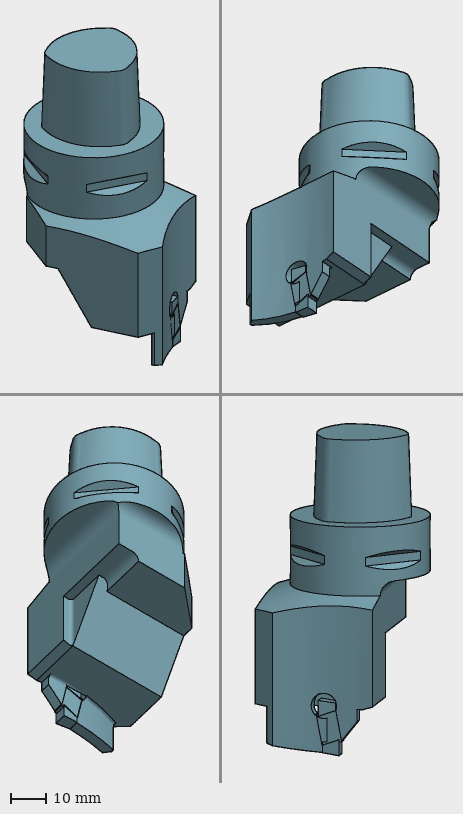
import cadquery as cq
import math


SHANK_HEIGHT = 23.85
LOBE_TIP_RADIUS = 14.95
LOBE_END_RADIUS = 14.5
FLANK_RADIUS = 13.2
LOBE_HALF_ANGLE = 8.3
SHANK_TAPER = 0.9

COLLAR_RADIUS = 40.0 / 2
COLLAR_HEIGHT = 20.0
GROOVE_Z = -10.1
GROOVE_FLOOR = 17.7
GROOVE_FLOOR_HEIGHT = 2.5
GROOVE_MOUTH_HEIGHT = 5.3
UNDERCUT_RADIUS = 4.0

HEAD_LEFT = -14.95
HEAD_BACK = 9.9
HEAD_FRONT = COLLAR_RADIUS - 45.0
LEFT_CHAMFER_Y = -13.9
LEFT_CHAMFER_X = -4.0
RIGHT_CHAMFER_X = 24.6
HEAD_RIGHT = 49.5 - COLLAR_RADIUS
RIGHT_CHAMFER_Y = -18.9
CONE_ANGLE = 15
HEAD_REACH = 53.4
HEEL_BOTTOM = -34.6
HEAD_BOTTOM = -51.5
SLOPE_TOP_X = -0.3
SLOPE_BOTTOM_X = 10.15

FACE_RADIUS = 57.0
FACE_NEAREST_X = 26.5
FACE_CENTRE_X = FACE_NEAREST_X + FACE_RADIUS

RELIEF_TOP = -31.95
RELIEF_START_Y = 2.8
RELIEF_FILLET = 2.7
SLOT_WALL_Y = 6.9
SLOT_WALL_X = 10.7
SLOT_FILLET = 1.2
BOTTOM_CHAMFER_RISE = 1.0

BLADE_THICKNESS = 3.2
BLADE_BACK = 5.25
BLADE_FRONT = -20.9
BLADE_FRONT_BOTTOM = -62.1
BLADE_FILLET = 1.1
BLADE_BACK_BOTTOM = -55.1
JAW_POINT = (0.8, -60.7)
BLADE_SUPPORT_BOTTOM = -64.4
BLADE_BOTTOM_MIDDLE = (-12.6, -63.6)

TIP_BOTTOM = SHANK_HEIGHT - 89
INSERT_CENTRE_Y = -3.0
INSERT_CENTRE_Z = -57.2
BAR_LOW_REAR = (0.7, -61.15)
BAR_LOW_FRONT = (-5.1, -62.2)
INSERT_LEFT = 23.3
INSERT_RIGHT = 26.6
EDGE_LEFT = 23.05
EDGE_RIGHT = 27.0
NOSE_TOP = -61.4
NOSE_BACK_Y = -4.9
NOSE_BACK_BOTTOM = -64.5
CLEARANCE_Y = -4.45
CLEARANCE_Z = -50.9
CLEARANCE_RADIUS = 3.65


def polar(radius, angle):
    a = math.radians(angle)
    return (radius * math.cos(a), radius * math.sin(a))


def lobed_wire(z, inset):
    """Closed outline of three lobe arcs joined by three flank arcs."""
    tip = LOBE_TIP_RADIUS - inset
    end = LOBE_END_RADIUS - inset
    flank = FLANK_RADIUS - inset
    wire = cq.Workplane("XY", origin=(0, 0, z)).moveTo(*polar(end, 90 - LOBE_HALF_ANGLE))
    for lobe in (90, 210, 330):
        wire = wire.threePointArc(polar(tip, lobe), polar(end, lobe + LOBE_HALF_ANGLE))
        wire = wire.threePointArc(polar(flank, lobe + 60), polar(end, lobe + 120 - LOBE_HALF_ANGLE))
    return wire.close().wires().val()


def make_shank():
    wires = [lobed_wire(0, 0), lobed_wire(SHANK_HEIGHT, SHANK_TAPER)]
    return cq.Workplane(cq.Solid.makeLoft(wires, True))


def gripper_groove(angle):
    """Straight groove with sloping sides across the collar at the given angle."""
    slope = (GROOVE_MOUTH_HEIGHT - GROOVE_FLOOR_HEIGHT) / 2 / (COLLAR_RADIUS - GROOVE_FLOOR)
    outer = COLLAR_RADIUS + 0.9
    floor_half = GROOVE_FLOOR_HEIGHT / 2
    outer_half = floor_half + slope * (outer - GROOVE_FLOOR)
    return (
        cq.Workplane("XZ", origin=(0, 0, GROOVE_Z))
        .polyline([(GROOVE_FLOOR, -floor_half), (outer, -outer_half),
                   (outer, outer_half), (GROOVE_FLOOR, floor_half)])
        .close()
        .extrude(COLLAR_RADIUS, both=True)
        .rotate((0, 0, 0), (0, 0, 1), angle)
    )


def undercut(plane, wall, outward):
    """Rounded cut under the collar, ending tangent to a side wall of the head."""
    top = -COLLAR_HEIGHT + UNDERCUT_RADIUS
    far = wall + outward * COLLAR_RADIUS
    arc_end = wall + outward * UNDERCUT_RADIUS
    diagonal = UNDERCUT_RADIUS * (1 - math.sqrt(0.5))
    return (
        cq.Workplane(plane)
        .moveTo(wall, -COLLAR_HEIGHT)
        .threePointArc((wall + outward * diagonal, top - diagonal), (arc_end, top))
        .lineTo(far, top)
        .lineTo(far, -COLLAR_HEIGHT)
        .close()
        .extrude(2 * COLLAR_RADIUS, both=True)
    )


def make_collar():
    collar = cq.Workplane("XY").circle(COLLAR_RADIUS).extrude(-COLLAR_HEIGHT)
    for angle in (45, 135, 225, 315):
        collar = collar.cut(gripper_groove(angle))
    collar = collar.cut(undercut("XZ", HEAD_LEFT, -1))
    return collar.cut(undercut("YZ", HEAD_BACK, 1))


def face_x(y, radius=FACE_RADIUS):
    """X of a vertical cylinder about the concave face's axis."""
    return FACE_CENTRE_X - math.sqrt(radius**2 - y**2)


def head_plan():
    """Plan of head and blade, extruded down from the collar's lower face."""
    return (
        cq.Workplane("XY", origin=(0, 0, -COLLAR_HEIGHT))
        .moveTo(HEAD_LEFT, HEAD_BACK)
        .lineTo(HEAD_LEFT, LEFT_CHAMFER_Y)
        .lineTo(LEFT_CHAMFER_X, HEAD_FRONT)
        .lineTo(RIGHT_CHAMFER_X, HEAD_FRONT)
        .lineTo(HEAD_RIGHT, RIGHT_CHAMFER_Y)
        .threePointArc((FACE_NEAREST_X, 0), (face_x(HEAD_BACK), HEAD_BACK))
        .close()
        .extrude(TIP_BOTTOM + COLLAR_HEIGHT)
    )


def head_side():
    """Side outline with the flat heel and the slope."""
    return (
        cq.Workplane("XZ")
        .polyline([(HEAD_LEFT, -COLLAR_HEIGHT), (HEAD_LEFT, HEEL_BOTTOM),
                   (SLOPE_TOP_X, HEEL_BOTTOM), (SLOPE_BOTTOM_X, HEAD_BOTTOM),
                   (HEAD_REACH, HEAD_BOTTOM), (HEAD_REACH, -COLLAR_HEIGHT)])
        .close()
        .extrude(HEAD_REACH, both=True)
    )


def head_cone():
    """Space below the conical top of the head."""
    drop = (HEAD_REACH - COLLAR_RADIUS) * math.tan(math.radians(CONE_ANGLE))
    return (
        cq.Workplane("XZ")
        .polyline([(0, -COLLAR_HEIGHT), (COLLAR_RADIUS, -COLLAR_HEIGHT),
                   (HEAD_REACH, -COLLAR_HEIGHT - drop), (HEAD_REACH, TIP_BOTTOM), (0, TIP_BOTTOM)])
        .close()
        .revolve(360, (0, 0, 0), (0, 1, 0))
    )


def box_between(low, high):
    size = [b - a for a, b in zip(low, high)]
    return cq.Workplane("XY").box(*size, centered=False).translate(low)


def heel_relief():
    """Rounded step under the heel, bounded by the continued slope."""
    step = box_between(
        (HEAD_LEFT - 0.9, RELIEF_START_Y, HEAD_BOTTOM), (SLOT_WALL_X, HEAD_BACK + 0.9, RELIEF_TOP)
    ).edges("|X and <Y and >Z").fillet(RELIEF_FILLET)
    slope_run = (SLOPE_BOTTOM_X - SLOPE_TOP_X) / (HEEL_BOTTOM - HEAD_BOTTOM)
    relief_top_x = SLOPE_TOP_X - slope_run * (RELIEF_TOP - HEEL_BOTTOM)
    beyond = HEAD_LEFT - 0.9
    outside_slope = (
        cq.Workplane("XZ")
        .polyline([(beyond, RELIEF_TOP), (relief_top_x, RELIEF_TOP),
                   (SLOPE_BOTTOM_X, HEAD_BOTTOM), (beyond, HEAD_BOTTOM)])
        .close()
        .extrude(HEAD_REACH, both=True)
    )
    return step.intersect(outside_slope)


def rear_slot():
    """Vertical slot with a rounded inner corner along the rear edge."""
    return box_between(
        (HEAD_LEFT - 0.9, SLOT_WALL_Y, HEAD_BOTTOM), (SLOT_WALL_X, HEAD_BACK + 0.9, RELIEF_TOP)
    ).edges("|Z and >X and <Y").fillet(SLOT_FILLET)


def bottom_chamfer():
    return (
        cq.Workplane("YZ")
        .polyline([(SLOT_WALL_Y, HEAD_BOTTOM), (HEAD_BACK, HEAD_BOTTOM),
                   (HEAD_BACK, HEAD_BOTTOM + BOTTOM_CHAMFER_RISE)])
        .close()
        .extrude(HEAD_REACH)
    )


def make_head():
    head = head_plan().intersect(head_side()).intersect(head_cone())
    return head.cut(heel_relief()).cut(rear_slot()).cut(bottom_chamfer())


def make_blade():
    """Curved plate below the head, concentric with its concave face."""
    outline = (
        cq.Workplane("YZ")
        .moveTo(BLADE_BACK, HEAD_BOTTOM)
        .lineTo(BLADE_BACK, BLADE_BACK_BOTTOM)
        .lineTo(*JAW_POINT)
        .lineTo(NOSE_BACK_Y, NOSE_TOP)
        .lineTo(NOSE_BACK_Y, BLADE_SUPPORT_BOTTOM)
        .threePointArc(BLADE_BOTTOM_MIDDLE, (BLADE_FRONT, BLADE_FRONT_BOTTOM))
        .lineTo(BLADE_FRONT, HEAD_BOTTOM)
        .close()
        .extrude(HEAD_REACH)
    )
    ring = (
        cq.Workplane("XY", origin=(FACE_CENTRE_X, 0, HEAD_BOTTOM))
        .circle(FACE_RADIUS + BLADE_THICKNESS)
        .extrude(TIP_BOTTOM - HEAD_BOTTOM)
    )
    return outline.intersect(ring).intersect(head_plan())


def blade_root_edge(tool):
    """Inner edge where the blade meets the underside of the head."""
    inner_x = FACE_NEAREST_X - BLADE_THICKNESS
    margin = 0.1
    low = (inner_x - margin, BLADE_FRONT - margin, HEAD_BOTTOM - margin)
    high = (HEAD_RIGHT, BLADE_BACK - margin, HEAD_BOTTOM + margin)
    return tool.edges(cq.selectors.BoxSelector(low, high)).edges("%CIRCLE")


def insert_nose():
    """Lower cutting end, widest at its edge and narrowing to the body."""
    side = (
        cq.Workplane("YZ")
        .polyline([(0, NOSE_TOP + 0.9), (0, TIP_BOTTOM), (NOSE_BACK_Y, NOSE_BACK_BOTTOM),
                   (NOSE_BACK_Y, NOSE_TOP - 0.9)])
        .close()
        .extrude(HEAD_REACH)
    )
    plan = (
        cq.Workplane("XY", origin=(0, 0, TIP_BOTTOM))
        .polyline([(EDGE_LEFT, 0), (EDGE_RIGHT, 0),
                   (INSERT_RIGHT, NOSE_BACK_Y), (INSERT_LEFT, NOSE_BACK_Y)])
        .close()
        .extrude(HEAD_BOTTOM - TIP_BOTTOM)
    )
    return side.intersect(plan)


def make_insert():
    """Slanted bar with the same nose at both ends, turned half a turn."""
    low_corners = [BAR_LOW_REAR, BAR_LOW_FRONT]
    high_corners = [(2 * INSERT_CENTRE_Y - y, 2 * INSERT_CENTRE_Z - z) for y, z in low_corners]
    bar = (
        cq.Workplane("YZ", origin=(INSERT_LEFT, 0, 0))
        .polyline(low_corners + high_corners)
        .close()
        .extrude(INSERT_RIGHT - INSERT_LEFT)
    )
    nose = insert_nose()
    centre = (0, INSERT_CENTRE_Y, INSERT_CENTRE_Z)
    axis_end = (1, INSERT_CENTRE_Y, INSERT_CENTRE_Z)
    return bar.union(nose).union(nose.rotate(centre, axis_end, 180))


def nose_clearance():
    """Round pocket around the unused upper nose, open to the concave face."""
    return (
        cq.Workplane("YZ", origin=(EDGE_LEFT, CLEARANCE_Y, CLEARANCE_Z))
        .circle(CLEARANCE_RADIUS)
        .extrude(HEAD_RIGHT - EDGE_LEFT)
    )


def make_holder(insert):
    tool = make_head().union(make_blade())
    tool = blade_root_edge(tool).fillet(BLADE_FILLET)
    holder = make_shank().union(make_collar()).union(tool)
    return holder.cut(nose_clearance()).cut(insert)


insert = make_insert()
holder = make_holder(insert)

result = cq.Compound.makeCompound([holder.val(), insert.val()])